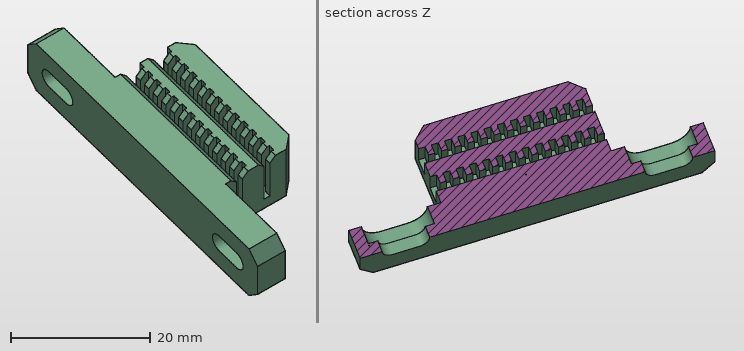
import cadquery as cq

plate_length = 54.0
height = 10.0
plate_thickness = 5.0
corner_chamfer = 2.0

hole_spacing = 40.0
slot_travel = 4.0
hole_diameter = 3.2
head_diameter = 6.0
web_thickness = 2.0

block_width = 26.0
total_depth = 18.0

channel_fronts = (7.0, 12.0)
channel_width = 2.5
channel_floor = 2.0
belt_gap = 1.0
lead_in = 1.0
tooth_count = 13

tooth_pitch = block_width / tooth_count
tooth_width = tooth_pitch / 2
half_block = block_width / 2


def extrude_along_block(points, x_start, length):
    """Extrude a (Y, Z) outline along +X, starting at x_start."""
    return cq.Workplane("YZ", origin=(x_start, 0, 0)).polyline(points).close().extrude(length)


def make_slots(diameter, front):
    """Pair of round-ended slots running from Y = front to the rear of the plate."""
    return (
        cq.Workplane("XZ", origin=(0, front, height / 2))
        .pushPoints([(-hole_spacing / 2, 0), (hole_spacing / 2, 0)])
        .slot2D(slot_travel + diameter, diameter)
        .extrude(front - plate_thickness)
    )


def make_plate():
    plate = cq.Workplane("XY").box(plate_length, plate_thickness, height, centered=(True, False, False))
    plate = plate.edges("|Y").chamfer(corner_chamfer)
    screw_holes = make_slots(hole_diameter, 0)
    head_pockets = make_slots(head_diameter, web_thickness)
    return plate.cut(screw_holes).cut(head_pockets)


def make_block():
    depth = total_depth - plate_thickness
    block = cq.Workplane("XY", origin=(0, plate_thickness, 0)).box(
        block_width, depth, height, centered=(True, False, False)
    )
    return block.edges("|Z and >Y").chamfer(corner_chamfer)


def make_channel(front):
    """Open-topped channel whose front rim is chamfered to guide the belt in."""
    rear = front + channel_width
    outline = [
        (front, channel_floor),
        (rear, channel_floor),
        (rear, height),
        (front - lead_in, height),
        (front, height - lead_in),
    ]
    return extrude_along_block(outline, -half_block, block_width)


def make_tooth(front, x_start):
    """Upright tooth on the rear wall of a channel, with a sloped top corner."""
    face = front + belt_gap
    rear = front + channel_width
    outline = [
        (face, channel_floor),
        (rear, channel_floor),
        (rear, height),
        (face + lead_in, height),
        (face, height - lead_in),
    ]
    return extrude_along_block(outline, x_start, tooth_width)


result = make_plate().union(make_block())

for channel_front in channel_fronts:
    channel = make_channel(channel_front)
    for index in range(tooth_count):
        tooth_start = -half_block + index * tooth_pitch + tooth_width
        channel = channel.cut(make_tooth(channel_front, tooth_start))
    result = result.cut(channel)